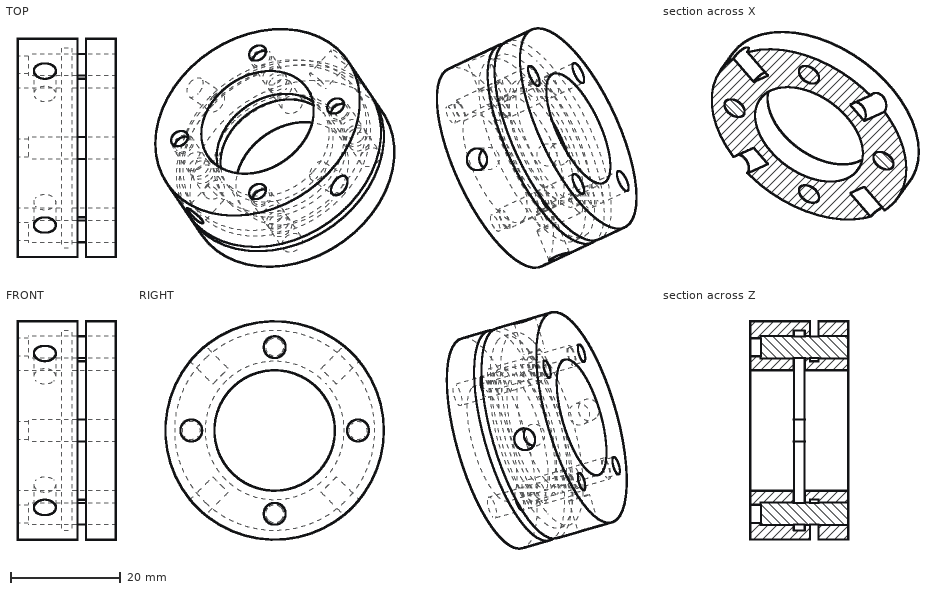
import cadquery as cq
import math

OUTER_DIAMETER = 40.0
BORE_DIAMETER = 22.0
TOTAL_LENGTH = 18.0
CLAMP_LENGTH = 11.0
FLANGE_LENGTH = CLAMP_LENGTH / 2

SLOT_WIDTH = TOTAL_LENGTH - CLAMP_LENGTH - FLANGE_LENGTH
SLOT_END = CLAMP_LENGTH + SLOT_WIDTH
NECK_DIAMETER = 25.4

WEB_THICKNESS = 1.0
GROOVE_WIDTH = 2.0
GROOVE_END = CLAMP_LENGTH - WEB_THICKNESS
GROOVE_START = GROOVE_END - GROOVE_WIDTH
GROOVE_DIAMETER = OUTER_DIAMETER + BORE_DIAMETER - NECK_DIAMETER

PIN_COUNT = 4
PIN_DIAMETER = 4.0
PIN_CIRCLE_RADIUS = 15.25
ACCESS_DIAMETER = 3.3
ACCESS_DEPTH = 2.0
PIN_END = TOTAL_LENGTH

RADIAL_HOLE_COUNT = 4
RADIAL_HOLE_DIAMETER = 4.0
RADIAL_HOLE_X = 5.0
RADIAL_HOLE_DEPTH = 6.0


def cylinder(x_start, x_end, diameter, y=0.0, z=0.0):
    """Solid cylinder parallel to X between two X positions."""
    return (
        cq.Workplane("YZ", origin=(x_start, y, z))
        .circle(diameter / 2)
        .extrude(x_end - x_start)
    )


def pin_positions():
    """(y, z) centres of the pins, on the Y and Z axes."""
    angles = [2 * math.pi * i / PIN_COUNT for i in range(PIN_COUNT)]
    return [(PIN_CIRCLE_RADIUS * math.cos(a), PIN_CIRCLE_RADIUS * math.sin(a)) for a in angles]


def make_pin(y, z):
    return cylinder(ACCESS_DEPTH, PIN_END, PIN_DIAMETER, y, z)


def cut_slot(body):
    """Open the slot around the outside, leaving the neck."""
    slot = cylinder(CLAMP_LENGTH, SLOT_END, OUTER_DIAMETER)
    neck = cylinder(CLAMP_LENGTH, SLOT_END, NECK_DIAMETER)
    return body.cut(slot.cut(neck))


def cut_pin_holes(body):
    """Cut each pin's seat and the access hole leading to it."""
    for y, z in pin_positions():
        body = body.cut(make_pin(y, z))
        body = body.cut(cylinder(0, ACCESS_DEPTH, ACCESS_DIAMETER, y, z))
    return body


def cut_radial_holes(body):
    """Drill the blind radial holes in the clamp ring."""
    step = 360 / RADIAL_HOLE_COUNT
    floor_radius = OUTER_DIAMETER / 2 - RADIAL_HOLE_DEPTH
    drill = (
        cq.Workplane("XY", origin=(RADIAL_HOLE_X, 0, floor_radius))
        .circle(RADIAL_HOLE_DIAMETER / 2)
        .extrude(RADIAL_HOLE_DEPTH)
    )
    for i in range(RADIAL_HOLE_COUNT):
        body = body.cut(drill.rotate((0, 0, 0), (1, 0, 0), (i + 0.5) * step))
    return body


def make_housing():
    body = cylinder(0, TOTAL_LENGTH, OUTER_DIAMETER)
    body = body.cut(cylinder(0, TOTAL_LENGTH, BORE_DIAMETER))
    body = cut_slot(body)
    body = body.cut(cylinder(GROOVE_START, GROOVE_END, GROOVE_DIAMETER))
    body = cut_pin_holes(body)
    return cut_radial_holes(body)


housing = make_housing()
pins = [make_pin(y, z) for y, z in pin_positions()]

result = cq.Compound.makeCompound([housing.val(), *[pin.val() for pin in pins]])